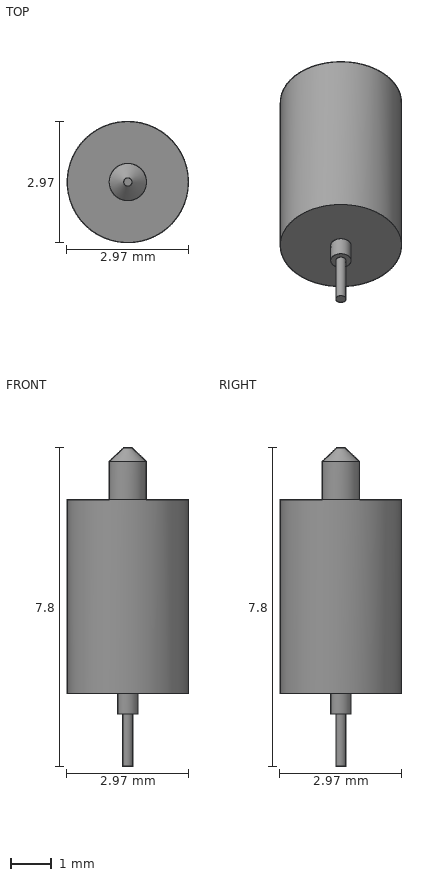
import cadquery as cq

total_height = 7.8

housing_diameter = 2.97
housing_height = 4.75

tail_diameter = 0.25
tail_length = 1.28
shank_diameter = 0.5
shank_exposed_length = 0.5
head_diameter = 0.91
tip_diameter = 0.2
tip_height = 0.335

housing_bottom = tail_length + shank_exposed_length
housing_top = housing_bottom + housing_height
cone_bottom = total_height - tip_height


def make_housing():
    """Cylinder with a through bore that fits the pin shank."""
    return (
        cq.Workplane("XY")
        .workplane(offset=housing_bottom)
        .circle(housing_diameter / 2)
        .circle(shank_diameter / 2)
        .extrude(housing_height)
    )


def make_pin():
    """Stepped pin whose conical head rests on top of the housing."""
    return (
        cq.Workplane("XZ")
        .moveTo(0, 0)
        .lineTo(tail_diameter / 2, 0)
        .lineTo(tail_diameter / 2, tail_length)
        .lineTo(shank_diameter / 2, tail_length)
        .lineTo(shank_diameter / 2, housing_top)
        .lineTo(head_diameter / 2, housing_top)
        .lineTo(head_diameter / 2, cone_bottom)
        .lineTo(tip_diameter / 2, total_height)
        .lineTo(0, total_height)
        .close()
        .revolve(360, (0, 0, 0), (0, 1, 0))
    )


housing = make_housing()
pin = make_pin()

result = cq.Compound.makeCompound([housing.val(), pin.val()])